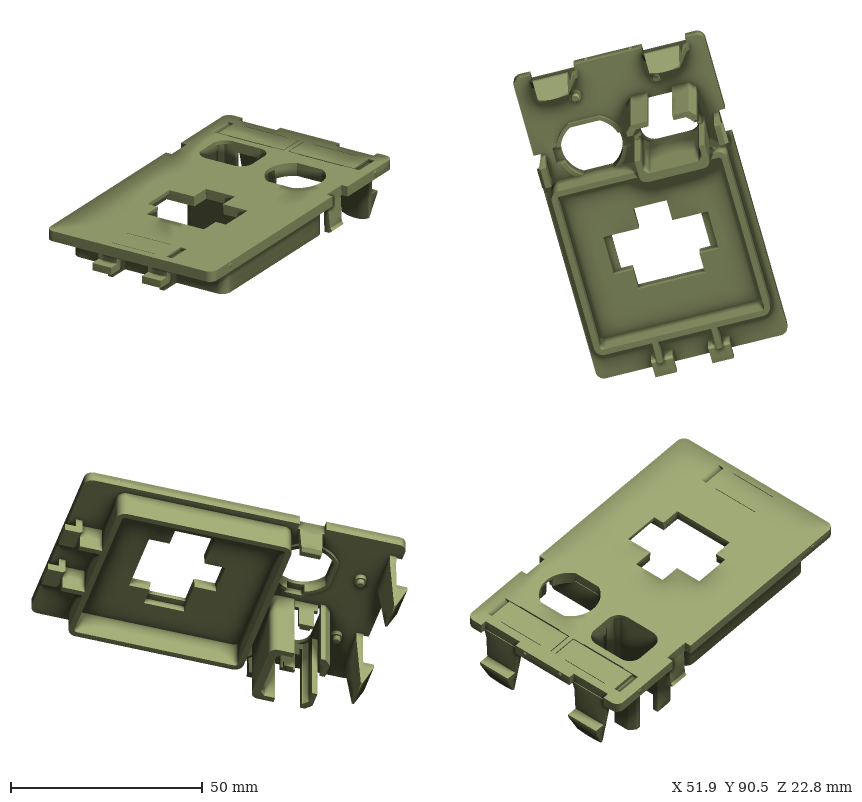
import cadquery as cq

PLATE_WIDTH = 51.6
PLATE_BACK = 43.4
PLATE_FRONT = -44.0
PLATE_THICKNESS = 2.9
PLATE_CORNER_RADIUS = 2.2
LIP_THICKNESS = 1.1
LIP_BOTTOM = PLATE_THICKNESS - LIP_THICKNESS

CLAW_X = 15.0
CLAW_NOTCH_WIDTH = 11.7
CLAW_NOTCH_DEPTH = 1.8
LATCH_Y = 17.7
LATCH_NOTCH_LENGTH = 7.2
LATCH_NOTCH_DEPTH = 1.8

PIP_RADIUS = 0.6
PIP_HEIGHT = 0.14
PIP_Z = 1.8
SIDE_PIP_YS = (34.75, -35.3)
BACK_PIP_X = 6.0
BACK_PIP_HEIGHT = 0.3
PIP_TIP_RADIUS = 0.4

COLLAR_X = -10.8
OPENING_WIDTH = 15.75
OPENING_FRONT = 16.65
OPENING_BACK = 29.5
OPENING_RADIUS = 3.6
COLLAR_WIDTH = 18.9
COLLAR_FRONT = 14.4
COLLAR_BACK = 30.95
COLLAR_RADIUS = 2.0
COLLAR_DEPTH = 19.9
COLLAR_FRONT_END = 20.8
POST_START = 28.1
POST_CHAMFER = 1.6
POST_GAP = 6.7
BORE_CHAMFER = 1.2

TAB_Y = 24.25
TAB_THICKNESS = 1.1
TAB_HEAD_LENGTH = 6.3
TAB_HEAD_DEPTH = 2.3
TAB_STEM_LENGTH = 4.0
TAB_DEPTH = 8.1
BARB_LENGTH = 2.6
BARB_REACH = 0.8
BARB_HEIGHT = 1.8

ROUND_X = 10.5
ROUND_Y = 19.9
ROUND_RADIUS = 8.05
ROUND_FLAT_DISTANCE = 14.0
ROUND_RIM_DEPTH = 0.8
ROUND_RIM_WALL = 1.1
ROUND_NOTCH_LENGTH = 4.7
ROUND_NOTCH_REACH = 2.0

JACK_TOP_HALF = 4.5
JACK_MIDDLE_HALF = 12.1
JACK_BOTTOM_HALF = 9.0
JACK_LEVELS = (0.2, -5.6, -16.1, -21.7)
JACK_UNDERCUT = 0.2
JACK_SIDE_UNDERCUT = 2.0

SKIRT_WIDTH = 47.4
SKIRT_BACK = 13.0
SKIRT_FRONT = -34.6
SKIRT_RADIUS = 2.4
SKIRT_DEPTH = 7.6
SKIRT_WALL = 1.5

WEB_DEPTH = 5.8
WEB_THICKNESS = 0.9

FOOT_X = 7.7
FOOT_WIDTH = 5.8
FOOT_BACK = -40.5
FOOT_LEG = 1.7
FOOT_TIP = -45.25
FOOT_TOP = -2.5
FOOT_BOTTOM = -4.6
FOOT_CHAMFER = 0.6
RIB_X = 8.0
RIB_WIDTH = 1.45

CLAW_TIP_Y = 45.25
CLAW_HOOK_Z = -8.7
CLAW_TIP_FACE = 0.8
CLAW_ROOT_FRONT = 40.0
CLAW_ROOT_BACK = 41.8
CLAW_STEM_BACK = 42.3
CLAW_END_Y = 41.9
CLAW_END_Z = -16.5
CLAW_SIDE_END_Z = -15.6
CLAW_FLARE_Z = -2.1
CLAW_FLARE_WIDTH = 12.7
CLAW_WIDTH = 10.9
CLAW_END_WIDTH = 8.1

LATCH_INNER_X = 22.7
LATCH_ROOT_X = 24.0
LATCH_NECK_X = 24.5
LATCH_NECK_Z = -6.9
LATCH_TIP_X = 25.2
LATCH_TIP_Z = -7.6
LATCH_END_X = 24.25
LATCH_END_Z = -8.3
LATCH_ROOT_LENGTH = 6.2
LATCH_END_LENGTH = 5.5

LABEL_LENGTH = 20.0
LABEL_WIDTH = 7.1
LABEL_THICKNESS = 1.0
FINGER_GAP = 0.7
FINGER_RAMP = 1.2
LABEL_CLEARANCE = 0.3
SIDE_SLIT_LENGTH = 13.6
SIDE_SLIT_WIDTH = 0.2
BACK_LABEL_INNER_X = 0.9
BACK_LABEL_X = BACK_LABEL_INNER_X + LABEL_LENGTH / 2
BACK_LABEL_Y = 35.6
FRONT_LABEL_X = 0.0
FRONT_LABEL_Y = -38.2

STUD_Y = 35.1
STUD_RADIUS = 1.5
STUD_HEIGHT = 1.3
STUD_TIP_RADIUS = 1.1
STUD_TIP_HEIGHT = 1.3
STUD_TIP_CHAMFER = 0.3

SIDES = (-1, 1)
OVERLAP = 0.45


def block(x0, x1, y0, y1, z0, z1):
    """Box between two corners; each pair of limits may come in either order."""
    box = cq.Workplane("XY").box(abs(x1 - x0), abs(y1 - y0), abs(z1 - z0))
    return box.translate(((x0 + x1) / 2, (y0 + y1) / 2, (z0 + z1) / 2))


def rounded_block(x0, x1, y0, y1, z0, z1, radius):
    return block(x0, x1, y0, y1, z0, z1).edges("|Z").fillet(radius)


def mirrored(shape, side):
    """The shape itself for side +1, its mirror image across X = 0 for side -1."""
    return shape if side > 0 else shape.mirror("YZ")


def make_blank():
    half = PLATE_WIDTH / 2
    plate = rounded_block(-half, half, PLATE_FRONT, PLATE_BACK, 0, PLATE_THICKNESS, PLATE_CORNER_RADIUS)
    for side in SIDES:
        claw_notch = block(
            side * CLAW_X - CLAW_NOTCH_WIDTH / 2, side * CLAW_X + CLAW_NOTCH_WIDTH / 2,
            PLATE_BACK - CLAW_NOTCH_DEPTH, PLATE_BACK, 0, PLATE_THICKNESS,
        )
        latch_notch = block(
            side * (half - LATCH_NOTCH_DEPTH), side * half,
            LATCH_Y - LATCH_NOTCH_LENGTH / 2, LATCH_Y + LATCH_NOTCH_LENGTH / 2, 0, PLATE_THICKNESS,
        )
        plate = plate.cut(claw_notch).cut(latch_notch)
    return plate


def pip_cone(base, direction, height):
    """Flat-topped cone on the rim, with a shank that reaches into the plate."""
    shank = cq.Solid.makeCylinder(PIP_RADIUS, OVERLAP, base - direction * OVERLAP, direction)
    tip = cq.Solid.makeCone(PIP_RADIUS, PIP_TIP_RADIUS, height, base, direction)
    return cq.Workplane(shank).union(cq.Workplane(tip))


def add_pips(plate):
    for side in SIDES:
        outward = cq.Vector(side, 0, 0)
        for y in SIDE_PIP_YS:
            base = cq.Vector(side * PLATE_WIDTH / 2, y, PIP_Z)
            plate = plate.union(pip_cone(base, outward, PIP_HEIGHT))
        back_base = cq.Vector(side * BACK_PIP_X, PLATE_BACK, PIP_Z)
        plate = plate.union(pip_cone(back_base, cq.Vector(0, 1, 0), BACK_PIP_HEIGHT))
    return plate


def collar_opening():
    """Rounded rectangular opening through the lip."""
    half = OPENING_WIDTH / 2
    return rounded_block(
        COLLAR_X - half, COLLAR_X + half, OPENING_FRONT, OPENING_BACK,
        LIP_BOTTOM, PLATE_THICKNESS, OPENING_RADIUS,
    )


def collar_bore():
    """Chamfered bore of the collar, from its lower end up to the lip."""
    half = OPENING_WIDTH / 2
    bore = block(COLLAR_X - half, COLLAR_X + half, OPENING_FRONT, OPENING_BACK, -COLLAR_DEPTH, LIP_BOTTOM)
    return bore.edges("|Z").chamfer(BORE_CHAMFER)


def flatted_disc(margin, bottom, top):
    """Disc with two flats in the shape of the round opening, grown by the margin."""
    radius = ROUND_RADIUS + margin
    half_flat = ROUND_FLAT_DISTANCE / 2 + margin
    disc = cq.Workplane("XY", origin=(ROUND_X, ROUND_Y, bottom)).circle(radius).extrude(top - bottom)
    flats = block(
        ROUND_X - radius, ROUND_X + radius, ROUND_Y - half_flat, ROUND_Y + half_flat, bottom, top,
    )
    return disc.intersect(flats)


def round_opening():
    return flatted_disc(0, -ROUND_RIM_DEPTH, PLATE_THICKNESS)


def round_rim():
    return flatted_disc(ROUND_RIM_WALL, -ROUND_RIM_DEPTH, 0)


def round_side_notches():
    """One slot under the lip that runs out past both sides of the round opening."""
    reach = ROUND_RADIUS + ROUND_NOTCH_REACH
    half = ROUND_NOTCH_LENGTH / 2
    return block(
        ROUND_X - reach, ROUND_X + reach, ROUND_Y - half, ROUND_Y + half, -ROUND_RIM_DEPTH, LIP_BOTTOM,
    )


def jack_bands(half_widths, margin, bottom, top):
    """Stacked rectangles of the jack opening, with the margin added at both Y ends of each."""
    bands = cq.Workplane("XY")
    for half, upper, lower in zip(half_widths, JACK_LEVELS, JACK_LEVELS[1:]):
        bands = bands.union(block(-half, half, lower - margin, upper + margin, bottom, top))
    return bands


def jack_opening():
    """Jack opening in the lip above a pocket that is wider in its middle band."""
    opening = jack_bands((JACK_TOP_HALF, JACK_MIDDLE_HALF, JACK_BOTTOM_HALF), 0, LIP_BOTTOM, PLATE_THICKNESS)
    pocket_halves = (JACK_TOP_HALF, JACK_MIDDLE_HALF + JACK_SIDE_UNDERCUT, JACK_BOTTOM_HALF)
    return opening.union(jack_bands(pocket_halves, JACK_UNDERCUT, 0, LIP_BOTTOM))


def make_skirt():
    """Open-bottomed frame with rounded outer corners."""
    half = SKIRT_WIDTH / 2
    outside = rounded_block(-half, half, SKIRT_FRONT, SKIRT_BACK, -SKIRT_DEPTH, 0, SKIRT_RADIUS)
    inside = rounded_block(
        -half + SKIRT_WALL, half - SKIRT_WALL, SKIRT_FRONT + SKIRT_WALL, SKIRT_BACK - SKIRT_WALL,
        -SKIRT_DEPTH, 0, SKIRT_RADIUS - SKIRT_WALL,
    )
    return outside.cut(inside)


def make_collar():
    """U-shaped front wall and two chamfered corner posts at the back."""
    half = COLLAR_WIDTH / 2
    ring = block(COLLAR_X - half, COLLAR_X + half, COLLAR_FRONT, COLLAR_BACK, -COLLAR_DEPTH, 0)
    ring = ring.edges("|Z and <Y").fillet(COLLAR_RADIUS)
    ring = ring.edges("|Z and >Y").chamfer(POST_CHAMFER)
    side_gap = block(COLLAR_X - half, COLLAR_X + half, COLLAR_FRONT_END, POST_START, -COLLAR_DEPTH, 0)
    back_gap = block(
        COLLAR_X - POST_GAP / 2, COLLAR_X + POST_GAP / 2, POST_START, COLLAR_BACK, -COLLAR_DEPTH, 0,
    )
    return ring.cut(side_gap).cut(back_gap)


def make_web():
    """Thin diagonal wall from the skirt's rear corner to the collar's front corner."""
    x = -SKIRT_WIDTH / 2 + SKIRT_RADIUS
    reach = COLLAR_FRONT + COLLAR_RADIUS - SKIRT_BACK
    start_y = SKIRT_BACK - WEB_THICKNESS
    outline = [
        (x, start_y),
        (x + reach, start_y + reach),
        (x + reach, start_y + reach + WEB_THICKNESS),
        (x, start_y + WEB_THICKNESS),
    ]
    return cq.Workplane("XY").polyline(outline).close().extrude(-WEB_DEPTH)


def make_spring_tab(side):
    """T-shaped tab beside the opening, with a barb that reaches into it."""
    wall = COLLAR_X + side * OPENING_WIDTH / 2
    outer = wall + side * TAB_THICKNESS
    head = block(
        wall, outer, TAB_Y - TAB_HEAD_LENGTH / 2, TAB_Y + TAB_HEAD_LENGTH / 2, -TAB_HEAD_DEPTH, 0,
    )
    stem = block(wall, outer, TAB_Y - TAB_STEM_LENGTH / 2, TAB_Y + TAB_STEM_LENGTH / 2, -TAB_DEPTH, 0)
    barb = block(
        wall - side * BARB_REACH, wall, TAB_Y - BARB_LENGTH / 2, TAB_Y + BARB_LENGTH / 2,
        -TAB_DEPTH, -TAB_DEPTH + BARB_HEIGHT,
    )
    return head.union(stem).union(barb)


def make_foot(x):
    """L-shaped hook foot centred on x."""
    outline = [
        (FOOT_BACK, OVERLAP),
        (FOOT_BACK, FOOT_BOTTOM + FOOT_CHAMFER),
        (FOOT_BACK - FOOT_CHAMFER, FOOT_BOTTOM),
        (FOOT_TIP, FOOT_BOTTOM),
        (FOOT_TIP, FOOT_TOP),
        (FOOT_BACK - FOOT_LEG, FOOT_TOP),
        (FOOT_BACK - FOOT_LEG, OVERLAP),
    ]
    foot = cq.Workplane("YZ").polyline(outline).close().extrude(FOOT_WIDTH / 2, both=True)
    return foot.translate((x, 0, 0))


def make_rib(x):
    return block(
        x - RIB_WIDTH / 2, x + RIB_WIDTH / 2, FOOT_BACK, SKIRT_FRONT + SKIRT_WALL / 2, -SKIRT_DEPTH, 0,
    )


def make_claw(x):
    """Hooked profile trimmed by a tapering outline with a rounded end."""
    profile = [
        (CLAW_ROOT_FRONT, 0),
        (CLAW_ROOT_BACK, 0),
        (CLAW_STEM_BACK, CLAW_HOOK_Z),
        (CLAW_TIP_Y, CLAW_HOOK_Z),
        (CLAW_TIP_Y, CLAW_HOOK_Z - CLAW_TIP_FACE),
        (CLAW_END_Y, CLAW_END_Z),
    ]
    hook = cq.Workplane("YZ").polyline(profile).close().extrude(CLAW_FLARE_WIDTH / 2, both=True)
    outline = (
        cq.Workplane("XZ", origin=(0, CLAW_TIP_Y, 0))
        .moveTo(-CLAW_FLARE_WIDTH / 2, 0)
        .lineTo(-CLAW_WIDTH / 2, CLAW_FLARE_Z)
        .lineTo(-CLAW_END_WIDTH / 2, CLAW_SIDE_END_Z)
        .threePointArc((0, CLAW_END_Z), (CLAW_END_WIDTH / 2, CLAW_SIDE_END_Z))
        .lineTo(CLAW_WIDTH / 2, CLAW_FLARE_Z)
        .lineTo(CLAW_FLARE_WIDTH / 2, 0)
        .close()
        .extrude(CLAW_TIP_Y - CLAW_ROOT_FRONT)
    )
    return hook.intersect(outline).translate((x, 0, 0))


def make_latch():
    """Barbed latch on the +X side, slightly narrower towards its end."""
    profile = [
        (LATCH_INNER_X, 0),
        (LATCH_ROOT_X, 0),
        (LATCH_NECK_X, LATCH_NECK_Z),
        (LATCH_TIP_X, LATCH_TIP_Z),
        (LATCH_END_X, LATCH_END_Z),
        (LATCH_INNER_X, LATCH_END_Z),
    ]
    bar = cq.Workplane("XZ").polyline(profile).close().extrude(LATCH_ROOT_LENGTH / 2, both=True)
    outline = [
        (-LATCH_ROOT_LENGTH / 2, 0),
        (LATCH_ROOT_LENGTH / 2, 0),
        (LATCH_END_LENGTH / 2, LATCH_END_Z),
        (-LATCH_END_LENGTH / 2, LATCH_END_Z),
    ]
    taper = cq.Workplane("YZ").polyline(outline).close().extrude(PLATE_WIDTH / 2)
    return bar.intersect(taper).translate((0, LATCH_Y, 0))


def make_stud(x):
    stud = cq.Workplane("XY").circle(STUD_RADIUS).extrude(-STUD_HEIGHT)
    stud = stud.faces("<Z").workplane().circle(STUD_TIP_RADIUS).extrude(STUD_TIP_HEIGHT)
    stud = stud.faces("<Z").chamfer(STUD_TIP_CHAMFER)
    return stud.translate((x, STUD_Y, 0))


def label_recess(clearance):
    """Recess for a label centred on the origin, with a finger ramp beyond its +X end.

    The clearance is left at the label's -X end and its -Y side.
    """
    floor = PLATE_THICKNESS - LABEL_THICKNESS
    half = LABEL_LENGTH / 2
    outline = [
        (-half - clearance, PLATE_THICKNESS),
        (-half - clearance, floor),
        (half + FINGER_GAP, floor),
        (half + FINGER_GAP + FINGER_RAMP, PLATE_THICKNESS),
    ]
    width = LABEL_WIDTH + clearance
    recess = cq.Workplane("XZ").polyline(outline).close().extrude(width)
    recess = recess.translate((0, LABEL_WIDTH / 2, 0))
    slits = block(
        -SIDE_SLIT_LENGTH / 2, SIDE_SLIT_LENGTH / 2,
        LABEL_WIDTH / 2 - width - SIDE_SLIT_WIDTH, LABEL_WIDTH / 2 + SIDE_SLIT_WIDTH, floor, PLATE_THICKNESS,
    )
    return recess.union(slits)


def make_label(x, y):
    half_length = LABEL_LENGTH / 2
    half_width = LABEL_WIDTH / 2
    return block(
        x - half_length, x + half_length, y - half_width, y + half_width,
        PLATE_THICKNESS - LABEL_THICKNESS, PLATE_THICKNESS,
    )


def make_plate():
    plate = make_blank()
    plate = plate.union(round_rim()).cut(round_opening()).cut(round_side_notches())
    plate = plate.cut(jack_opening())
    plate = plate.union(make_skirt()).union(make_collar()).union(make_web())
    plate = plate.cut(collar_opening()).cut(collar_bore())
    plate = add_pips(plate)
    for side in SIDES:
        plate = plate.union(make_spring_tab(side))
        plate = plate.union(make_rib(side * RIB_X)).union(make_foot(side * FOOT_X))
        plate = plate.union(make_claw(side * CLAW_X)).union(mirrored(make_latch(), side))
        plate = plate.union(make_stud(side * BACK_LABEL_X))
        back_recess = label_recess(LABEL_CLEARANCE).translate((BACK_LABEL_X, BACK_LABEL_Y, 0))
        plate = plate.cut(mirrored(back_recess, side))
    return plate.cut(label_recess(0).translate((FRONT_LABEL_X, FRONT_LABEL_Y, 0)))


plate = make_plate()
label_places = [(side * BACK_LABEL_X, BACK_LABEL_Y) for side in SIDES]
label_places.append((FRONT_LABEL_X, FRONT_LABEL_Y))
labels = [make_label(x, y) for x, y in label_places]

result = cq.Compound.makeCompound([plate.solids().val(), *[label.val() for label in labels]])